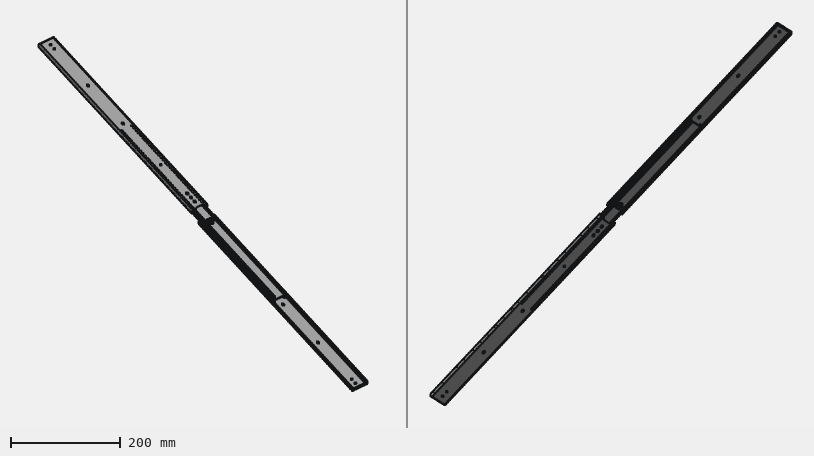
import cadquery as cq
import math

overall_length = 1037.0
overall_width = 35.08
overall_height = 19.0
sheet = 1.2

rail_length = 508.0
rail_edge_gap = 1.4
rail_corner_radius = 3.0
flange_splay = 8.0
cavity_width = 28.6
rail_start = -overall_length / 2
rail_end = rail_start + rail_length
rail_top = overall_height / 2

tab_width = cavity_width
tab_edge_gap = 3.1
bend_radius = 2.4

notch_depth = 3.0
notch_width = 15.0
notch_corner_radius = 2.5

hole_diameter = 3.6
round_hole_offsets = [14.5, 27.0, 379.0]
slot_length = 6.2
slot_offsets = [138.0, 254.0, 466.1, 478.6, 491.1]

inner_length = 508.0
inner_width = 22.5
inner_height = 7.6
inner_flange = 1.6
inner_corner_radius = 1.5

raceway_radius = 2.35
raceway_y = (inner_width + cavity_width) / 4
raceway_z = 3.9

lug_start = 18.5
lug_straight = 9.0
lug_width = 9.0
lug_height = 4.0
lug_wall = 1.6


def rail_outline():
    """Outer skin of the outer rail in the YZ plane: flat web, round corners, splayed sides."""
    splay = math.radians(flange_splay)
    foot = overall_width / 2
    corner = foot - (rail_top - rail_edge_gap) * math.tan(splay)
    web_end = corner - rail_corner_radius * math.tan((math.pi / 2 - splay) / 2)

    def corner_point(angle):
        """Point on the +Y corner arc, at an angle from straight up."""
        y = web_end + rail_corner_radius * math.sin(angle)
        z = rail_top - rail_corner_radius * (1 - math.cos(angle))
        return (y, z)

    side_start = corner_point(math.pi / 2 - splay)
    corner_middle = corner_point((math.pi / 2 - splay) / 2)
    return (
        cq.Workplane("YZ", origin=(rail_start, 0, 0))
        .moveTo(-foot, rail_edge_gap)
        .lineTo(-side_start[0], side_start[1])
        .threePointArc((-corner_middle[0], corner_middle[1]), (-web_end, rail_top))
        .lineTo(web_end, rail_top)
        .threePointArc(corner_middle, side_start)
        .lineTo(foot, rail_edge_gap)
        .close()
    )


def block(length, width, bottom, top, start):
    """Block along X, centred on Y, between two heights."""
    box = cq.Workplane("XY").box(length, width, top - bottom, centered=(False, True, False))
    return box.translate((start, 0, bottom))


def raceways(start, length):
    """Pair of round bars along X that hollow the ball raceways."""
    centers = [(-raceway_y, raceway_z), (raceway_y, raceway_z)]
    bars = cq.Workplane("YZ", origin=(start, 0, 0)).pushPoints(centers)
    return bars.circle(raceway_radius).extrude(length)


def web_drill(offset):
    """Workplane just below the outer rail web, at a distance from the far end."""
    return cq.Workplane("XY", origin=(rail_start + offset, 0, rail_top - 2 * sheet))


def make_outer_rail():
    """Upper outer rail, opening downwards, with its stop tab at -X."""
    rail = rail_outline().extrude(rail_length)
    rail = rail.cut(block(rail_length, cavity_width, 0, rail_top - sheet, rail_start))
    rail = rail.cut(raceways(rail_start, rail_length))

    bend_zone = block(2 * bend_radius, tab_width, tab_edge_gap, rail_top, rail_start)
    hollow = block(3 * bend_radius, tab_width, 0, rail_top - sheet, rail_start + sheet)
    hollow = hollow.edges("<X and >Z").fillet(bend_radius - sheet)
    rail = rail.union(bend_zone.cut(hollow))
    bend_outside = (
        cq.Workplane("XZ", origin=(0, overall_width / 2, 0))
        .moveTo(rail_start, rail_top - bend_radius)
        .radiusArc((rail_start + bend_radius, rail_top), bend_radius)
        .lineTo(rail_start, rail_top)
        .close()
        .extrude(overall_width)
    )
    rail = rail.cut(bend_outside)

    notch_bottom = rail_top - 2 * sheet
    notch = block(2 * notch_depth, notch_width, notch_bottom, rail_top, rail_end - notch_depth)
    rail = rail.cut(notch.edges("|Z and <X").fillet(notch_corner_radius))

    for offset in round_hole_offsets:
        rail = rail.cut(web_drill(offset).circle(hole_diameter / 2).extrude(3 * sheet))
    for offset in slot_offsets:
        rail = rail.cut(web_drill(offset).slot2D(slot_length, hole_diameter).extrude(3 * sheet))
    return rail


def d_prism(inset, height):
    """D-shaped prism standing on the mid plane, its round side towards +X."""
    half_width = lug_width / 2 - inset
    straight_end = lug_start + lug_straight
    return (
        cq.Workplane("XY")
        .moveTo(lug_start + inset, -half_width)
        .lineTo(straight_end, -half_width)
        .threePointArc((straight_end + half_width, 0), (straight_end, half_width))
        .lineTo(lug_start + inset, half_width)
        .close()
        .extrude(height)
    )


def make_inner_rail():
    """Upper inner rail, opening upwards, with its web on the mid plane."""
    start = -inner_length / 2
    rail = block(inner_length, inner_width, 0, inner_height, start)
    rail = rail.edges("<Z and |X").fillet(inner_corner_radius)
    rail = rail.cut(block(inner_length, inner_width - 2 * inner_flange, sheet, inner_height, start))

    rail = rail.cut(raceways(start, inner_length))
    rail = rail.union(d_prism(0, lug_height))
    return rail.cut(d_prism(lug_wall, lug_height))


def half_turn(body):
    """Opposite copy of an upper body, turned about the Y axis."""
    return body.rotate((0, 0, 0), (0, 1, 0), 180)


bodies = []
for upper in (make_outer_rail(), make_inner_rail()):
    bodies.append(upper.val())
    bodies.append(half_turn(upper).val())

result = cq.Compound.makeCompound(bodies)